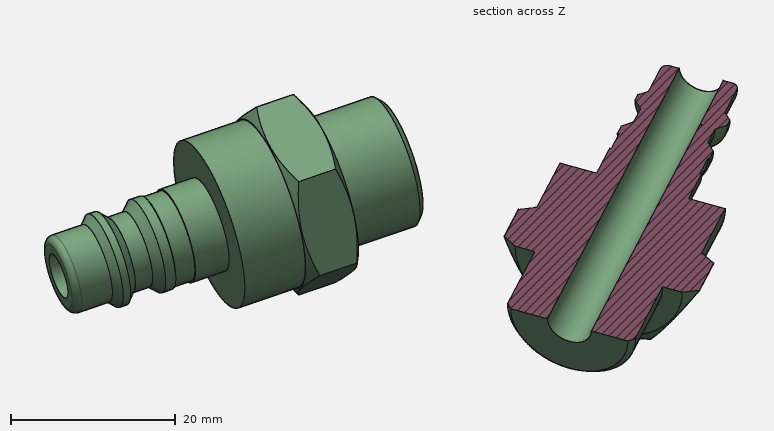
import cadquery as cq
import math

thread_d = 16.65
collar_d = 21.5
plug_d = 12.0
relief_d = 11.6
groove_d = 9.7
nose_d = 10.0
bore_d = 5.65

nose_length = 4.95
nose_cone = 1.0
ring_land = 1.0
ring_back_cone = 1.12
groove_length = 2.3
shoulder_cone = 1.2
shoulder_land = 1.35
relief_length = 2.6
total_length = 45.0
collar_length = 8.0
hex_length = 7.0
thread_length = 10.0

nose_round = 0.9
thread_chamfer = 0.7

hex_flats = 22.0
hex_corners = hex_flats / math.cos(math.pi / 6)
hex_face_d = 21.75
hex_chamfer_angle = 30.0

nose_end = nose_length
ring_front = nose_end + nose_cone
ring_back = ring_front + ring_land
groove_front = ring_back + ring_back_cone
groove_back = groove_front + groove_length
shoulder_front = groove_back + shoulder_cone
relief_front = shoulder_front + shoulder_land
relief_back = relief_front + relief_length
hex_back = total_length - thread_length
hex_front = hex_back - hex_length
collar_front = hex_front - collar_length


def revolve_profile(profile):
    """Turn a closed (radius, Y) outline about the Y axis."""
    return profile.close().revolve(360, (0, 0, 0), (0, 1, 0))


def make_turned_body():
    arc_inset = nose_round * (1 - math.sqrt(0.5))
    nose_r = nose_d / 2
    stages = [
        (nose_r, nose_end),
        (plug_d / 2, ring_front),
        (plug_d / 2, ring_back),
        (groove_d / 2, groove_front),
        (groove_d / 2, groove_back),
        (plug_d / 2, shoulder_front),
        (plug_d / 2, relief_front),
        (relief_d / 2, relief_front),
        (relief_d / 2, relief_back),
        (plug_d / 2, relief_back),
        (plug_d / 2, collar_front),
        (collar_d / 2, collar_front),
        (collar_d / 2, hex_front),
        (thread_d / 2, hex_front),
        (thread_d / 2, total_length - thread_chamfer),
        (thread_d / 2 - thread_chamfer, total_length),
        (0, total_length),
    ]
    profile = (
        cq.Workplane("XY")
        .lineTo(nose_r - nose_round, 0)
        .threePointArc((nose_r - arc_inset, arc_inset), (nose_r, nose_round))
    )
    for radius, y in stages:
        profile = profile.lineTo(radius, y)
    return revolve_profile(profile)


def make_hexagon():
    prism = (
        cq.Workplane("XZ", origin=(0, hex_back, 0))
        .polygon(6, hex_corners)
        .extrude(hex_length)
    )
    face_r = hex_face_d / 2
    corner_r = hex_corners / 2
    bevel = (corner_r - face_r) * math.tan(math.radians(hex_chamfer_angle))
    envelope = revolve_profile(
        cq.Workplane("XY")
        .moveTo(0, hex_front)
        .lineTo(face_r, hex_front)
        .lineTo(corner_r, hex_front + bevel)
        .lineTo(corner_r, hex_back - bevel)
        .lineTo(face_r, hex_back)
        .lineTo(0, hex_back)
    )
    return prism.intersect(envelope)


def make_bore():
    return cq.Workplane("XZ").circle(bore_d / 2).extrude(-total_length)


result = make_turned_body().union(make_hexagon()).cut(make_bore())